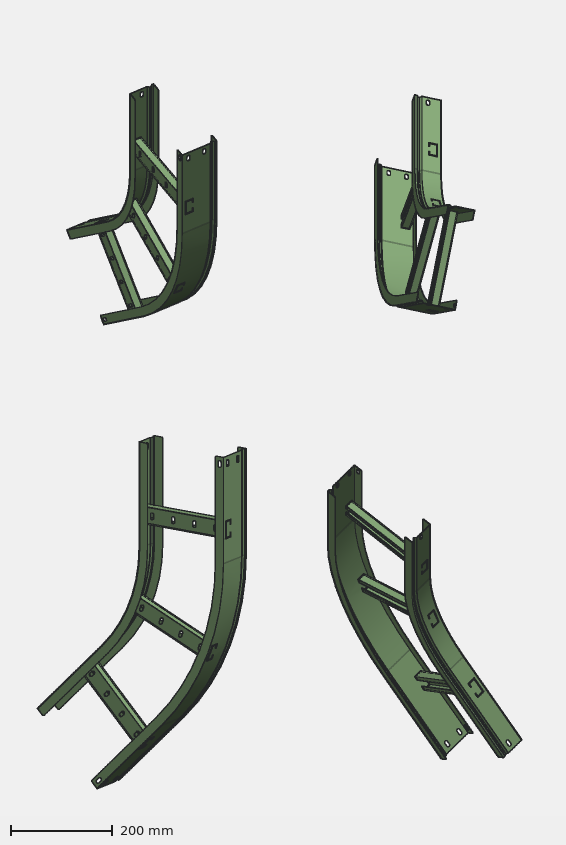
import cadquery as cq

bend_angle = 45.0
outer_radius = 500.0
ladder_width = 200.85
inner_radius = outer_radius - ladder_width
straight_length = 217.0

sheet = 1.5
outer_rail_depth = 80.0
inner_rail_depth = 55.0
flange_width = 20.0
flange_corner_radius = 3.0
bead_start = 5.0
bead_end = 15.0
bead_height = 4.0
bead_slope_run = 3.5

slot_length = 14.0
slot_width = 7.0
end_slot_setback = 15.0
outer_web_slot_depths = (15.0, 51.0)
inner_web_slot_depths = (inner_rail_depth / 2,)
flange_slot_inset = 10.0

rung_width = 36.0
rung_front = 8.0
rung_depth = 18.0
rung_sheet = 2.0
rung_lip = 10.0
rung_setback = 150.0
rung_slot_count = 4
rung_slot_pitch = 50.0


def turn(shape, angle):
    """Turn a shape about the bend axis, away from the upper straight run."""
    return shape.rotate((0, 0, 0), (0, 1, 0), angle)


def mirror_to_lower_end(shape):
    """Copy a shape of the upper straight run to the same place on the lower one."""
    return turn(shape.mirror("XY"), bend_angle)


def closed_section(points):
    return cq.Workplane("XY").polyline(points).close()


def revolve_bend(points):
    """Carry an X-Y section round the bend."""
    return closed_section(points).revolve(bend_angle, (0, 0, 0), (0, 1, 0))


def rail_section(web_face, inward, depth):
    """Channel with two flanges and a bead pressed inward near the back of the web."""
    bead = [
        (0, depth - bead_end),
        (bead_height, depth - bead_end + bead_slope_run),
        (bead_height, depth - bead_start - bead_slope_run),
        (0, depth - bead_start),
    ]
    outside = [(flange_width, 0), (0, 0)] + bead + [(0, depth), (flange_width, depth)]
    bead_inside = [(inset + sheet, y) for inset, y in reversed(bead)]
    inside = [(flange_width, depth - sheet), (sheet, depth - sheet)]
    inside += bead_inside + [(sheet, sheet), (flange_width, sheet)]
    return [(web_face + inward * inset, y) for inset, y in outside + inside]


def web_slot(web_face, depth):
    """Cutter for a slot through a web near the upper end."""
    return (
        cq.Workplane("YZ", origin=(web_face, depth, straight_length - end_slot_setback))
        .slot2D(slot_length, slot_width, 90)
        .extrude(2 * sheet, both=True)
    )


def flange_slot():
    """Cutter for a slot through the front flange of the outer rail near the upper end."""
    x = outer_radius - flange_slot_inset
    return (
        cq.Workplane("XZ", origin=(x, 0, straight_length - end_slot_setback))
        .slot2D(slot_length, slot_width, 90)
        .extrude(2 * sheet, both=True)
    )


def make_rail(web_face, inward, depth, slots):
    free_edge = ">X" if inward > 0 else "<X"
    section = rail_section(web_face, inward, depth)
    straight = closed_section(section).extrude(straight_length)
    straight = straight.faces(">Z").edges("|Y").edges(free_edge).fillet(flange_corner_radius)
    for slot in slots:
        straight = straight.cut(slot)
    return revolve_bend(section).union(straight).union(mirror_to_lower_end(straight))


def make_rung():
    """Lipped channel, open at the back, lying along X between the outer faces of the webs."""
    half = rung_width / 2
    half_inside = half - rung_sheet
    half_opening = half - rung_lip
    back = rung_front + rung_depth
    right_half = [
        (rung_front, half),
        (back, half),
        (back, half_opening),
        (back - rung_sheet, half_opening),
        (back - rung_sheet, half_inside),
        (rung_front + rung_sheet, half_inside),
    ]
    left_half = [(y, -z) for y, z in reversed(right_half)]
    channel = (
        cq.Workplane("YZ", origin=(inner_radius, 0, 0))
        .polyline(right_half + left_half)
        .close()
        .extrude(ladder_width)
    )
    slots = (
        cq.Workplane("XZ", origin=((inner_radius + outer_radius) / 2, rung_front, 0))
        .rarray(rung_slot_pitch, 1, rung_slot_count, 1)
        .slot2D(slot_length, slot_width, 90)
        .extrude(2 * rung_sheet, both=True)
    )
    return channel.cut(slots)


def trim_envelope():
    """Solid between the outer faces of the two curved webs."""
    corners = [
        (inner_radius, 0),
        (outer_radius, 0),
        (outer_radius, outer_rail_depth),
        (inner_radius, outer_rail_depth),
    ]
    return revolve_bend(corners)


upper_rung = make_rung().translate((0, 0, straight_length - rung_setback))
middle_rung = turn(make_rung(), bend_angle / 2).intersect(trim_envelope())
rungs = [upper_rung, middle_rung, mirror_to_lower_end(upper_rung)]

outer_slots = [web_slot(outer_radius, depth) for depth in outer_web_slot_depths] + [flange_slot()]
inner_slots = [web_slot(inner_radius, depth) for depth in inner_web_slot_depths]
outer_rail = make_rail(outer_radius, -1, outer_rail_depth, outer_slots)
inner_rail = make_rail(inner_radius, 1, inner_rail_depth, inner_slots)
for rung in rungs:
    outer_rail = outer_rail.cut(rung)
    inner_rail = inner_rail.cut(rung)

result = cq.Compound.makeCompound([outer_rail.val(), inner_rail.val(), *[rung.val() for rung in rungs]])